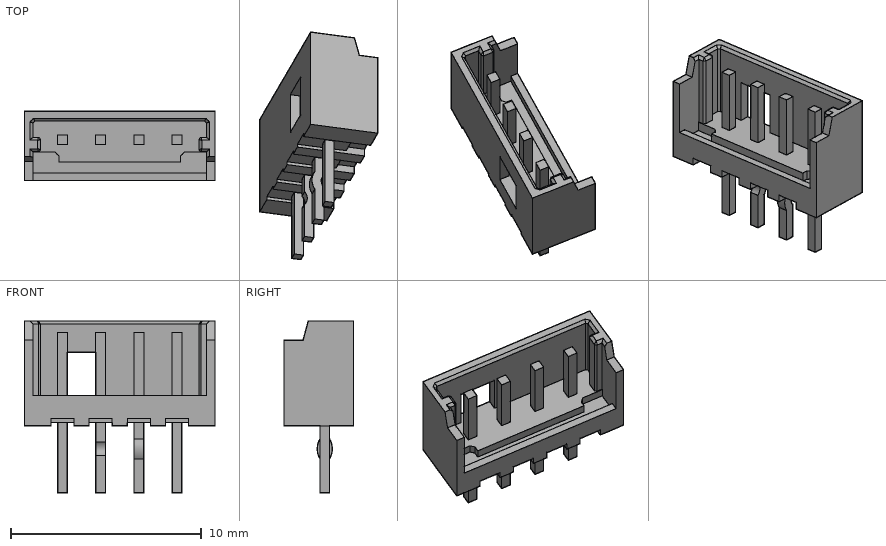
import cadquery as cq
import math


PIN_COUNT = 4
PITCH = 2.0
PIN_WIDTH = 0.52
PIN_DEPTH = 0.5
PIN_TOP = 4.9
PIN_BOTTOM = -3.5
PIN_POSITIONS = [(i - (PIN_COUNT - 1) / 2) * PITCH for i in range(PIN_COUNT)]

KINK_Z = -1.2
KINK_OFFSET = 0.15
KINK_OUTER_RADIUS = 1.0
KINK_DIRECTIONS = {1: 1, 2: -1}

LENGTH = 10.0
DEPTH = 3.65
HEIGHT = 5.5
BACK_Y = 1.51
FRONT_Y = BACK_Y - DEPTH
END_WALL = 0.45
BACK_WALL = 0.53
FRONT_WALL = 0.4
CAVITY_HALF = LENGTH / 2 - END_WALL
CAVITY_BACK_Y = BACK_Y - BACK_WALL
CAVITY_FRONT_Y = FRONT_Y + FRONT_WALL
CORNER_CHAMFER = 0.1
RIM_CHAMFER = 0.15

FLOOR_Z = 1.6
GUTTER_DEPTH = 0.5
GUTTER_BACK_Y = -1.15
GUTTER_END_Y = -0.65
DECK_NOSE_HALF = 3.19
NOSE_CHAMFER = 0.19

RIB_LENGTH = 0.4
RIB_BACK_Y = 0.13
RIB_FRONT_Y = -0.62
RIB_TIP_HALF = CAVITY_HALF - RIB_LENGTH

SHOULDER_Z = 4.5
SHOULDER_TOP_Y = -0.87
SHOULDER_LOW_Y = -1.14

WINDOW_TOP = 3.85

SLOT_WIDTH = 1.2
SLOT_HEIGHT = 0.17
SLOT_MOUTH_HEIGHT = 0.4
SLOT_MOUTH_DEPTH = 1.0


def block(x_range, y_range, z_range):
    """Axis-aligned box spanning the given ranges."""
    size = [end - start for start, end in (x_range, y_range, z_range)]
    corner = (x_range[0], y_range[0], z_range[0])
    return cq.Workplane("XY").box(*size, centered=False).translate(corner)


def make_cavity():
    """Straight plug with the two guide ribs left out."""
    half, tip, bevel = CAVITY_HALF, RIB_TIP_HALF, CORNER_CHAMFER
    right_side = [
        (half, CAVITY_FRONT_Y),
        (half, RIB_FRONT_Y),
        (tip + bevel, RIB_FRONT_Y),
        (tip, RIB_FRONT_Y + bevel),
        (tip, RIB_BACK_Y - bevel),
        (tip + bevel, RIB_BACK_Y),
        (half, RIB_BACK_Y),
        (half, CAVITY_BACK_Y - bevel),
        (half - bevel, CAVITY_BACK_Y),
    ]
    left_side = [(-x, y) for x, y in reversed(right_side)]
    profile = cq.Workplane("XY").workplane(offset=FLOOR_Z).polyline(right_side + left_side)
    return profile.close().extrude(HEIGHT - FLOOR_Z)


def make_gutter():
    """Recess in the floor that runs in front of the pin deck."""
    right_side = [
        (CAVITY_HALF, CAVITY_FRONT_Y),
        (CAVITY_HALF, GUTTER_END_Y),
        (DECK_NOSE_HALF + NOSE_CHAMFER, GUTTER_END_Y),
        (DECK_NOSE_HALF, GUTTER_END_Y - NOSE_CHAMFER),
        (DECK_NOSE_HALF, GUTTER_BACK_Y),
    ]
    left_side = [(-x, y) for x, y in reversed(right_side)]
    profile = cq.Workplane("XY").workplane(offset=FLOOR_Z).polyline(right_side + left_side)
    return profile.close().extrude(-GUTTER_DEPTH)


def make_shoulder_cut():
    """Wedge that lowers the front of the end walls."""
    profile = cq.Workplane("YZ").polyline([
        (SHOULDER_TOP_Y, HEIGHT),
        (SHOULDER_LOW_Y, SHOULDER_Z),
        (FRONT_Y, SHOULDER_Z),
        (FRONT_Y, HEIGHT),
    ])
    return profile.close().extrude(LENGTH / 2, both=True)


def make_slot(x):
    """Bottom slot across the housing, taller at the front mouth."""
    x_range = (x - SLOT_WIDTH / 2, x + SLOT_WIDTH / 2)
    channel = block(x_range, (FRONT_Y, BACK_Y), (0, SLOT_HEIGHT))
    mouth = block(x_range, (FRONT_Y, FRONT_Y + SLOT_MOUTH_DEPTH), (0, SLOT_MOUTH_HEIGHT))
    return channel.union(mouth)


def make_housing():
    """Open shroud around the pins."""
    housing = block((-LENGTH / 2, LENGTH / 2), (FRONT_Y, BACK_Y), (0, HEIGHT))
    housing = housing.cut(make_cavity())
    rim = housing.faces(">Z").val().innerWires()[0]
    housing = housing.newObject(rim.Edges()).chamfer(RIM_CHAMFER)
    housing = housing.cut(make_gutter())
    housing = housing.cut(make_shoulder_cut())

    front_opening = block((-CAVITY_HALF, CAVITY_HALF), (FRONT_Y, CAVITY_FRONT_Y), (FLOOR_Z, HEIGHT))
    window = block(PIN_POSITIONS[:2], (CAVITY_BACK_Y, BACK_Y), (FLOOR_Z, WINDOW_TOP))
    housing = housing.cut(front_opening).cut(window)

    for x in PIN_POSITIONS:
        housing = housing.cut(make_slot(x))
    return housing


def make_pin(x, kink=0):
    """Square pin; a kink of +1 or -1 bows it towards +Y or -Y below the housing."""
    half = PIN_DEPTH / 2
    if kink == 0:
        profile = cq.Workplane("YZ").rect(PIN_DEPTH, PIN_TOP - PIN_BOTTOM)
        profile = profile.extrude(PIN_WIDTH / 2, both=True)
        return profile.translate((x, 0, (PIN_TOP + PIN_BOTTOM) / 2))

    inner_radius = KINK_OUTER_RADIUS - PIN_DEPTH
    outer_rise = math.sqrt(KINK_OUTER_RADIUS**2 - (KINK_OUTER_RADIUS - KINK_OFFSET) ** 2)
    inner_rise = math.sqrt(inner_radius**2 - (inner_radius - KINK_OFFSET) ** 2)
    outer_y = kink * half
    inner_y = -kink * half
    shift = kink * KINK_OFFSET
    profile = (
        cq.Workplane("YZ")
        .moveTo(inner_y, PIN_BOTTOM)
        .lineTo(outer_y, PIN_BOTTOM)
        .lineTo(outer_y, KINK_Z - outer_rise)
        .threePointArc((outer_y + shift, KINK_Z), (outer_y, KINK_Z + outer_rise))
        .lineTo(outer_y, PIN_TOP)
        .lineTo(inner_y, PIN_TOP)
        .lineTo(inner_y, KINK_Z + inner_rise)
        .threePointArc((inner_y + shift, KINK_Z), (inner_y, KINK_Z - inner_rise))
        .close()
    )
    return profile.extrude(PIN_WIDTH / 2, both=True).translate((x, 0, 0))


result = make_housing()
for index, pin_x in enumerate(PIN_POSITIONS):
    result = result.union(make_pin(pin_x, KINK_DIRECTIONS.get(index, 0)))